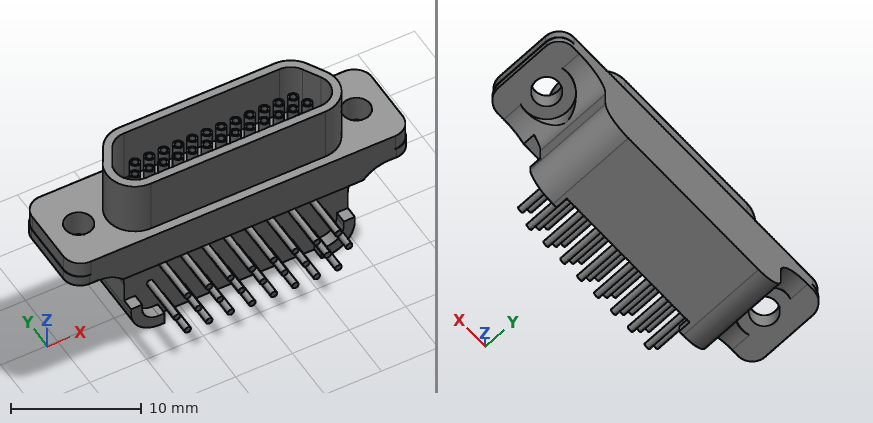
import cadquery as cq
import math

LENGTH = 30.0
WIDTH = 7.9
UPPER_LENGTH = 29.95
UPPER_CORNER = 1.55
LOWER_CORNER = 1.47

FLANGE_BOTTOM_Z = 7.77
FLANGE_SEAM_Z = 8.75
FLANGE_TOP_Z = 10.2
SHELL_TOP_Z = 15.2
CONTACT_TOP_Z = 13.8

BODY_WIDTH = 19.75
BODY_CORNER = 2.55
BODY_FLARE = 2.97

RECESS_DEPTH = 1.08
RECESS_TOP_Z = 6.75
LUG_TOP_Z = 3.05
LUG_SIDE = 1.0
LUG_FLOOR = 1.08
LUG_INNER_CORNER = 1.47
LUG_GAP = 13.8

SHELL_WIDTH = 20.32
SHELL_DEPTH = 6.35
SHELL_CORNER = 2.45
SHELL_WALL = 0.72
SHELL_SLANT = math.radians(30)

MOUNT_SPACING = 24.5
MOUNT_DIAMETER = 2.4
CLEARANCE_DIAMETER = 4.5

CONTACT_ROW_LENGTH = 15.22
CONTACT_ROW_Y = 0.55
CONTACT_DIAMETER = 0.85
CONTACT_BORE = 0.55
CONTACT_BORE_DEPTH = 0.6
FRONT_CONTACTS = 13
REAR_CONTACTS = 12
CONTACT_PITCH = CONTACT_ROW_LENGTH / (FRONT_CONTACTS - 1)

PIN_ROW_LENGTH = 15.2
PIN_DIAMETER = 0.57
PIN_REACH = 3.12
PIN_MIDDLE_Z = 3.85
OUTER_ROW_PINS = 8
MIDDLE_ROW_PINS = 9
PIN_PITCH = PIN_ROW_LENGTH / (MIDDLE_ROW_PINS - 1)

FRONT_Y = -WIDTH / 2
REAR_Y = WIDTH / 2
RECESS_Y = FRONT_Y + RECESS_DEPTH


def block(x_size, y_min, y_max, z_min, z_max):
    """Box centred on X between the given Y and Z limits."""
    return (
        cq.Workplane("XY", origin=(0, y_min, z_min))
        .box(x_size, y_max - y_min, z_max - z_min, centered=(True, False, False))
    )


def row(count, pitch):
    """Evenly spaced X positions centred on zero."""
    return [(i - (count - 1) / 2) * pitch for i in range(count)]


def plate(length, corner, z_min, z_max):
    """Flange plate with rounded corners, spanning the full width in Y."""
    blank = block(length, FRONT_Y, REAR_Y, z_min, z_max)
    return blank.edges("|Z").fillet(corner)


def make_body():
    """Round-bottomed block that flares out into the flange."""
    half = BODY_WIDTH / 2
    flare_x = half + BODY_FLARE
    flare_z = FLANGE_BOTTOM_Z - BODY_FLARE
    inset = half - BODY_CORNER
    corner_mid = BODY_CORNER * math.sqrt(0.5)
    flare_mid = BODY_FLARE * math.sqrt(0.5)
    profile = (
        cq.Workplane("XZ", origin=(0, REAR_Y, 0))
        .moveTo(0, 0)
        .lineTo(inset, 0)
        .threePointArc((inset + corner_mid, BODY_CORNER - corner_mid), (half, BODY_CORNER))
        .lineTo(half, flare_z)
        .threePointArc((flare_x - flare_mid, flare_z + flare_mid), (flare_x, FLANGE_BOTTOM_Z))
        .lineTo(flare_x, FLANGE_SEAM_Z)
        .lineTo(0, FLANGE_SEAM_Z)
        .close()
    )
    half_body = profile.extrude(WIDTH)
    return half_body.union(half_body.mirror("YZ"))


def make_recess():
    """Material removed from the body front, leaving an L-shaped lug at each bottom corner."""
    upper = block(LENGTH, FRONT_Y, RECESS_Y, LUG_TOP_Z, RECESS_TOP_Z)
    middle = block(BODY_WIDTH - 2 * LUG_SIDE, FRONT_Y, RECESS_Y, LUG_FLOOR, RECESS_TOP_Z)
    middle = middle.edges("|Y and <Z").fillet(LUG_INNER_CORNER)
    lower = block(LUG_GAP, FRONT_Y, RECESS_Y, 0, RECESS_TOP_Z)
    return upper.union(middle).union(lower)


def make_shell_prism(offset, z_min, z_max):
    """Rounded D prism, the shell outline moved inward by offset."""
    corner = SHELL_CORNER - offset
    centre_y = SHELL_DEPTH / 2 - SHELL_CORNER
    front_x = SHELL_WIDTH / 2 - SHELL_CORNER
    rear_x = front_x - 2 * centre_y * math.tan(SHELL_SLANT)
    centres = [(-front_x, -centre_y), (front_x, -centre_y), (rear_x, centre_y), (-rear_x, centre_y)]
    outline = cq.Workplane("XY", origin=(0, 0, z_min)).polyline(centres).close().offset2D(corner)
    return outline.extrude(z_max - z_min)


def make_contacts():
    """Tubes standing on the socket floor, level with the flange top."""
    places = [(x, -CONTACT_ROW_Y) for x in row(FRONT_CONTACTS, CONTACT_PITCH)]
    places += [(x, CONTACT_ROW_Y) for x in row(REAR_CONTACTS, CONTACT_PITCH)]
    bore_z = CONTACT_TOP_Z - CONTACT_BORE_DEPTH
    tubes = (
        cq.Workplane("XY", origin=(0, 0, FLANGE_TOP_Z))
        .pushPoints(places)
        .circle(CONTACT_DIAMETER / 2)
        .extrude(CONTACT_TOP_Z - FLANGE_TOP_Z)
    )
    bores = (
        cq.Workplane("XY", origin=(0, 0, bore_z))
        .pushPoints(places)
        .circle(CONTACT_BORE / 2)
        .extrude(CONTACT_BORE_DEPTH)
    )
    return tubes.cut(bores)


def make_pins():
    """Solder pins from inside the body out past its front face."""
    places = [(x, PIN_MIDDLE_Z) for x in row(MIDDLE_ROW_PINS, PIN_PITCH)]
    for z in (PIN_MIDDLE_Z - PIN_PITCH, PIN_MIDDLE_Z + PIN_PITCH):
        places += [(x, z) for x in row(OUTER_ROW_PINS, PIN_PITCH)]
    return (
        cq.Workplane("XZ")
        .pushPoints(places)
        .circle(PIN_DIAMETER / 2)
        .extrude(PIN_REACH - FRONT_Y)
    )


def mount_cylinders(diameter, z_min, z_max):
    """Upright cylinder at each mounting position."""
    return (
        cq.Workplane("XY", origin=(0, 0, z_min))
        .pushPoints([(x, 0) for x in row(2, MOUNT_SPACING)])
        .circle(diameter / 2)
        .extrude(z_max - z_min)
    )


lower_plate = plate(LENGTH, LOWER_CORNER, FLANGE_BOTTOM_Z, FLANGE_SEAM_Z)
upper_plate = plate(UPPER_LENGTH, UPPER_CORNER, FLANGE_SEAM_Z, FLANGE_TOP_Z)

result = (
    make_body()
    .cut(make_recess())
    .cut(mount_cylinders(CLEARANCE_DIAMETER, 0, FLANGE_BOTTOM_Z))
    .union(lower_plate)
    .union(upper_plate)
    .cut(mount_cylinders(MOUNT_DIAMETER, FLANGE_BOTTOM_Z, FLANGE_TOP_Z))
    .union(make_shell_prism(0, FLANGE_TOP_Z, SHELL_TOP_Z))
    .cut(make_shell_prism(SHELL_WALL, FLANGE_TOP_Z, SHELL_TOP_Z))
    .union(make_contacts())
    .union(make_pins())
)